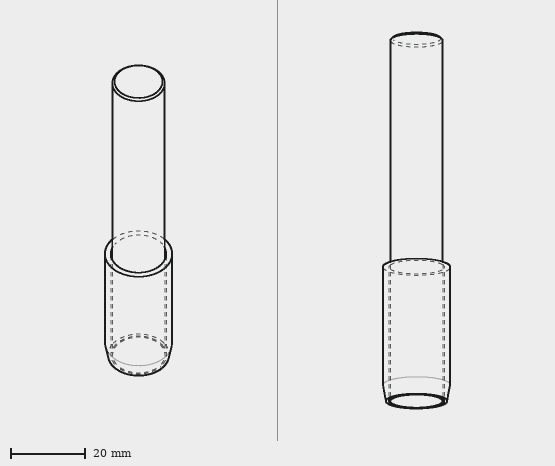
import cadquery as cq

PIN_LENGTH = 100.0
PIN_RADIUS = 7.0
PIN_CHAMFER = 0.6

SLEEVE_LENGTH = 37.0
SLEEVE_RADIUS = 9.0
CLEARANCE = 0.4
BORE_RADIUS = PIN_RADIUS + CLEARANCE

LEAD_HEIGHT = 4.5
LEAD_INSET = 0.8


def make_pin():
    """Revolve the pin about the Z axis."""
    return (
        cq.Workplane("XZ")
        .lineTo(PIN_RADIUS, 0)
        .lineTo(PIN_RADIUS, PIN_LENGTH - PIN_CHAMFER)
        .lineTo(PIN_RADIUS - PIN_CHAMFER, PIN_LENGTH)
        .lineTo(0, PIN_LENGTH)
        .close()
        .revolve(360, (0, 0), (0, 1))
    )


def make_sleeve():
    """Revolve the sleeve wall, with its conical lead-in, about the Z axis."""
    return (
        cq.Workplane("XZ")
        .moveTo(BORE_RADIUS, 0)
        .lineTo(SLEEVE_RADIUS - LEAD_INSET, 0)
        .lineTo(SLEEVE_RADIUS, LEAD_HEIGHT)
        .lineTo(SLEEVE_RADIUS, SLEEVE_LENGTH)
        .lineTo(BORE_RADIUS, SLEEVE_LENGTH)
        .close()
        .revolve(360, (0, 0), (0, 1))
    )


pin = make_pin()
sleeve = make_sleeve()

result = cq.Compound.makeCompound([pin.val(), sleeve.val()])